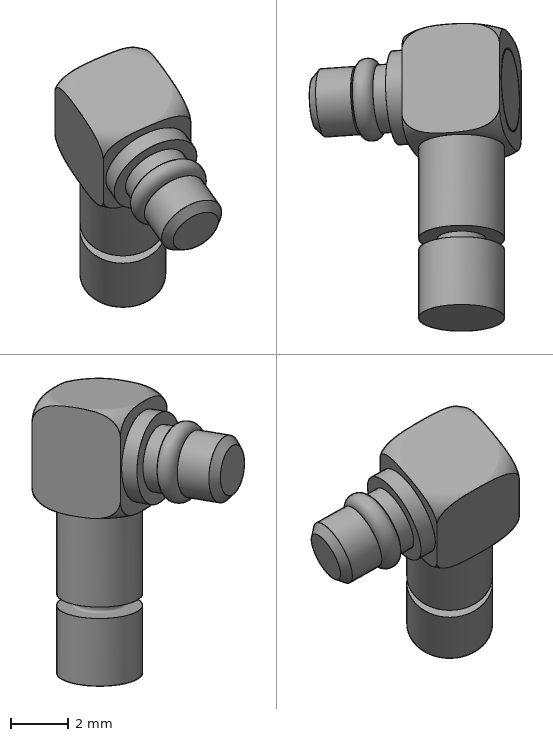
import cadquery as cq
import math


block_width = 3.5
block_height = 4.0
block_corner_radius = block_width / math.sqrt(2)
end_face_diameter = 3.46
corner_round_radius = 0.85
stem_diameter = 3.0
stem_length = 3.34

cap_diameter = 2.87
cap_thickness = 0.5
cap_seat_chamfer = 0.04

tail_neck_diameter = 1.7
tail_neck_length = 0.42
neck_foot_radius = 0.1
overall_height = 10.25

flange_diameter = 3.3
flange_length = 0.6
barrel_diameter = 2.4
barrel_end_chamfer = 0.3
plug_length = 3.51
groove_diameter = 2.0
groove_width = 0.8
groove_offset = 0.55

ring_diameter = 2.9
ring_width = 0.75
ring_edge_radius = 0.35

block_back = -block_width / 2
block_front = block_width / 2
block_top = block_height / 2
block_bottom = -block_height / 2
stem_bottom = block_bottom - stem_length
tail_shoulder = stem_bottom - tail_neck_length
tail_bottom = block_top - overall_height
barrel_start = block_front + flange_length
groove_start = barrel_start + groove_offset
ring_start = groove_start


def x_cylinder(start, length, diameter):
    """Cylinder on the plug axis, from X = start towards +X."""
    return cq.Workplane("YZ", origin=(start, 0, 0)).circle(diameter / 2).extrude(length)


def z_cylinder(bottom, top, diameter):
    """Cylinder on the vertical axis."""
    return cq.Workplane("XY", origin=(0, 0, bottom)).circle(diameter / 2).extrude(top - bottom)


def corner_rounding_envelope():
    """Turned shape that rounds the eight corners of the block."""
    face_radius = end_face_diameter / 2
    arc_center_radius = block_corner_radius - corner_round_radius
    arc_depth = math.sqrt(corner_round_radius**2 - (face_radius - arc_center_radius) ** 2)
    side_height = block_top - arc_depth
    middle_angle = math.atan2(arc_depth, face_radius - arc_center_radius) / 2
    middle_radius = arc_center_radius + corner_round_radius * math.cos(middle_angle)
    middle_height = side_height + corner_round_radius * math.sin(middle_angle)
    return (
        cq.Workplane("XZ")
        .moveTo(0, block_bottom)
        .lineTo(face_radius, block_bottom)
        .threePointArc((middle_radius, -middle_height), (block_corner_radius, -side_height))
        .lineTo(block_corner_radius, side_height)
        .threePointArc((middle_radius, middle_height), (face_radius, block_top))
        .lineTo(0, block_top)
        .close()
        .revolve(360, (0, 0, 0), (0, 1, 0))
    )


def make_housing():
    block = cq.Workplane("XY").box(block_width, block_width, block_height)
    block = block.intersect(corner_rounding_envelope())
    stem = z_cylinder(stem_bottom, block_bottom, stem_diameter)
    cap_seat = x_cylinder(block_back, cap_thickness, cap_diameter)
    housing = block.union(stem).cut(cap_seat)
    return housing.faces("<X").edges("%CIRCLE").chamfer(cap_seat_chamfer)


def make_cap():
    return x_cylinder(block_back, cap_thickness, cap_diameter)


def make_plug():
    flange = x_cylinder(block_front, flange_length, flange_diameter)
    barrel = x_cylinder(barrel_start, plug_length - flange_length, barrel_diameter)
    barrel = barrel.faces(">X").chamfer(barrel_end_chamfer)
    groove = x_cylinder(groove_start, groove_width, barrel_diameter).cut(
        x_cylinder(groove_start, groove_width, groove_diameter)
    )
    return flange.union(barrel).cut(groove)


def make_snap_ring():
    ring = x_cylinder(ring_start, ring_width, ring_diameter).edges().fillet(ring_edge_radius)
    return ring.cut(x_cylinder(ring_start, ring_width, groove_diameter))


def make_tail():
    sleeve = z_cylinder(tail_bottom, tail_shoulder, stem_diameter)
    neck = z_cylinder(tail_shoulder, stem_bottom, tail_neck_diameter)
    neck_foot = cq.selectors.RadiusNthSelector(0)
    return sleeve.union(neck).faces("<Z[1]").edges(neck_foot).fillet(neck_foot_radius)


housing = make_housing()
cap = make_cap()
plug = make_plug()
snap_ring = make_snap_ring()
tail = make_tail()

result = cq.Compound.makeCompound([
    housing.val(),
    cap.val(),
    plug.val(),
    snap_ring.val(),
    tail.val(),
])